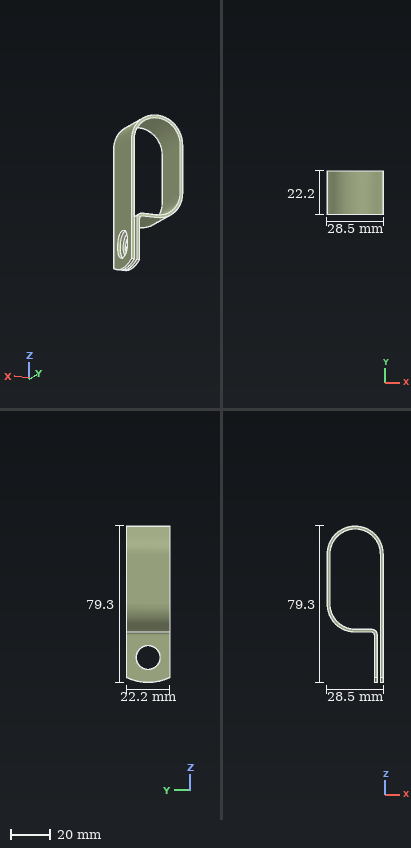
import cadquery as cq
import math

height = 79.3
loop_width = 28.5
strap_width = 22.2
thickness = 1.5
tab_gap = 1.5
straight_length = 25.3
bend_inner_radius = 1.5
hole_diameter = 12.0
slot_length = 14.3
hole_height = 12.7
tab_end_radius = 25.4

outer_radius = loop_width / 2
inner_radius = outer_radius - thickness
upper_center_z = height - outer_radius
lower_center_z = upper_center_z - straight_length
floor_bottom_z = lower_center_z - outer_radius
floor_top_z = floor_bottom_z + thickness

tab_right_x = inner_radius - tab_gap
tab_left_x = tab_right_x - thickness
bend_outer_radius = bend_inner_radius + thickness
bend_center_x = tab_left_x - bend_inner_radius
bend_center_z = floor_bottom_z - bend_inner_radius

diagonal = math.sqrt(0.5)


def make_strap():
    """Bent strip: long tab, loop and short tab, centred on Y = 0."""
    return (
        cq.Workplane("XZ")
        .moveTo(outer_radius, 0)
        .lineTo(outer_radius, upper_center_z)
        .threePointArc((0, height), (-outer_radius, upper_center_z))
        .lineTo(-outer_radius, lower_center_z)
        .threePointArc(
            (-outer_radius * diagonal, lower_center_z - outer_radius * diagonal),
            (0, floor_bottom_z),
        )
        .lineTo(bend_center_x, floor_bottom_z)
        .threePointArc(
            (bend_center_x + bend_inner_radius * diagonal, bend_center_z + bend_inner_radius * diagonal),
            (tab_left_x, bend_center_z),
        )
        .lineTo(tab_left_x, 0)
        .lineTo(tab_right_x, 0)
        .lineTo(tab_right_x, bend_center_z)
        .threePointArc(
            (bend_center_x + bend_outer_radius * diagonal, bend_center_z + bend_outer_radius * diagonal),
            (bend_center_x, floor_top_z),
        )
        .lineTo(0, floor_top_z)
        .threePointArc(
            (-inner_radius * diagonal, lower_center_z - inner_radius * diagonal),
            (-inner_radius, lower_center_z),
        )
        .lineTo(-inner_radius, upper_center_z)
        .threePointArc((0, upper_center_z + inner_radius), (inner_radius, upper_center_z))
        .lineTo(inner_radius, 0)
        .close()
        .extrude(strap_width / 2, both=True)
    )


def make_side_outline():
    """Block with the strap's side silhouette: straight sides and an arched lower end."""
    half_width = strap_width / 2
    arch_rise = tab_end_radius - math.sqrt(tab_end_radius**2 - half_width**2)
    return (
        cq.Workplane("YZ")
        .moveTo(-half_width, height)
        .lineTo(-half_width, arch_rise)
        .threePointArc((0, 0), (half_width, arch_rise))
        .lineTo(half_width, height)
        .close()
        .extrude(outer_radius, both=True)
    )


def make_round_hole():
    """Cylinder along X through the short tab."""
    return (
        cq.Workplane("YZ", origin=(tab_left_x, 0, hole_height))
        .circle(hole_diameter / 2)
        .extrude(thickness)
    )


def make_slot():
    """Upright adjustment slot along X through the long tab."""
    return (
        cq.Workplane("YZ", origin=(inner_radius, 0, hole_height))
        .slot2D(slot_length, hole_diameter, 90)
        .extrude(thickness)
    )


result = make_strap().intersect(make_side_outline()).cut(make_round_hole()).cut(make_slot())